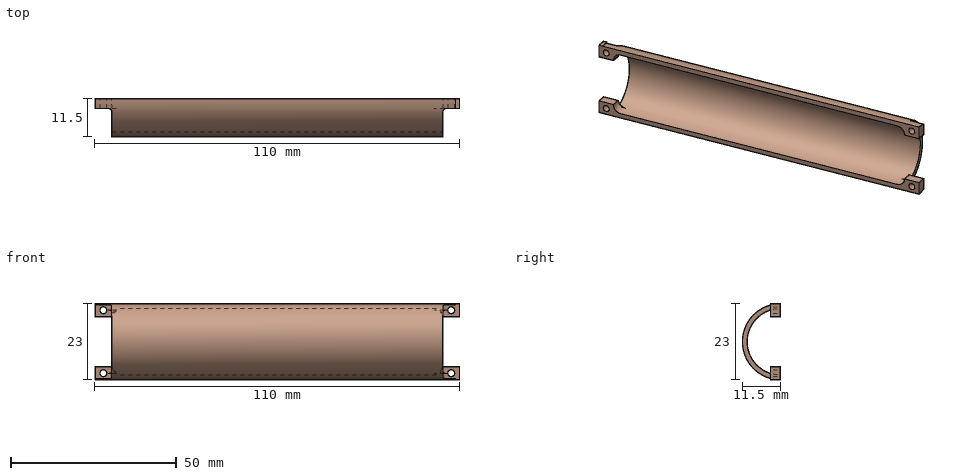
import cadquery as cq

outer_diameter = 23.0
wall = 1.5
body_length = 100.0
tab_length = 5.0
tab_thickness = 3.0
tab_height = 4.0
corner_radius = 1.0
hole_diameter = 2.0
hole_end_distance = tab_length / 2
hole_edge_distance = tab_height / 2
root_radius = 2.5
square_end_length = 1.2

outer_radius = outer_diameter / 2
inner_radius = outer_radius - wall
half_body = body_length / 2
half_length = half_body + tab_length


def cylinder_along_x(radius):
    """Full-length cylinder on the X axis."""
    return cq.Workplane("YZ").circle(radius).extrude(half_length, both=True)


def side_profile():
    """Block limiting the shell: full depth on the body, tab depth beyond its ends."""
    return (
        cq.Workplane("XY")
        .moveTo(-half_length, 0)
        .lineTo(half_length, 0)
        .lineTo(half_length, -tab_thickness)
        .lineTo(half_body + corner_radius, -tab_thickness)
        .radiusArc((half_body, -tab_thickness - corner_radius), -corner_radius)
        .lineTo(half_body, -outer_radius)
        .lineTo(-half_body, -outer_radius)
        .lineTo(-half_body, -tab_thickness - corner_radius)
        .radiusArc((-half_body - corner_radius, -tab_thickness), -corner_radius)
        .lineTo(-half_length, -tab_thickness)
        .close()
        .extrude(outer_radius, both=True)
    )


def root_fillet_ring(end):
    """Concave fillet ring between the bore and a plane across one end (-1 or 1) of the shell."""
    shell_end = end * half_body
    ring_end = shell_end - end * root_radius
    return (
        cq.Workplane("XY")
        .moveTo(shell_end, outer_radius)
        .lineTo(shell_end, inner_radius - root_radius)
        .radiusArc((ring_end, inner_radius), -end * root_radius)
        .lineTo(ring_end, outer_radius)
        .close()
        .revolve(360, (0, 0, 0), (1, 0, 0))
    )


def tab_block(x_a, x_b, side):
    """Rectangular block between two X positions, at the top (side 1) or bottom (side -1)."""
    center_z = side * (outer_radius - tab_height / 2)
    return cq.Workplane("XY").box(abs(x_b - x_a), tab_thickness, tab_height).translate(
        ((x_a + x_b) / 2, -tab_thickness / 2, center_z)
    )


def tab_holes():
    """Screw holes along Y through the four tabs."""
    hole_x = half_length - hole_end_distance
    hole_z = outer_radius - hole_edge_distance
    centers = [(x, z) for x in (-hole_x, hole_x) for z in (-hole_z, hole_z)]
    return (
        cq.Workplane("XZ")
        .pushPoints(centers)
        .circle(hole_diameter / 2)
        .extrude(tab_thickness)
    )


outer_cylinder = cylinder_along_x(outer_radius)
shell = outer_cylinder.cut(cylinder_along_x(inner_radius)).intersect(side_profile())

result = shell
for side in (1, -1):
    for end in (-1, 1):
        shell_end = end * half_body
        tab = tab_block(shell_end, end * half_length, side)
        root_zone = tab_block(shell_end, shell_end - end * root_radius, side)
        root_fillet = root_zone.intersect(root_fillet_ring(end))
        result = result.union(tab.union(root_fillet).intersect(outer_cylinder))
    result = result.union(tab_block(half_length - square_end_length, half_length, side))
result = result.cut(tab_holes())